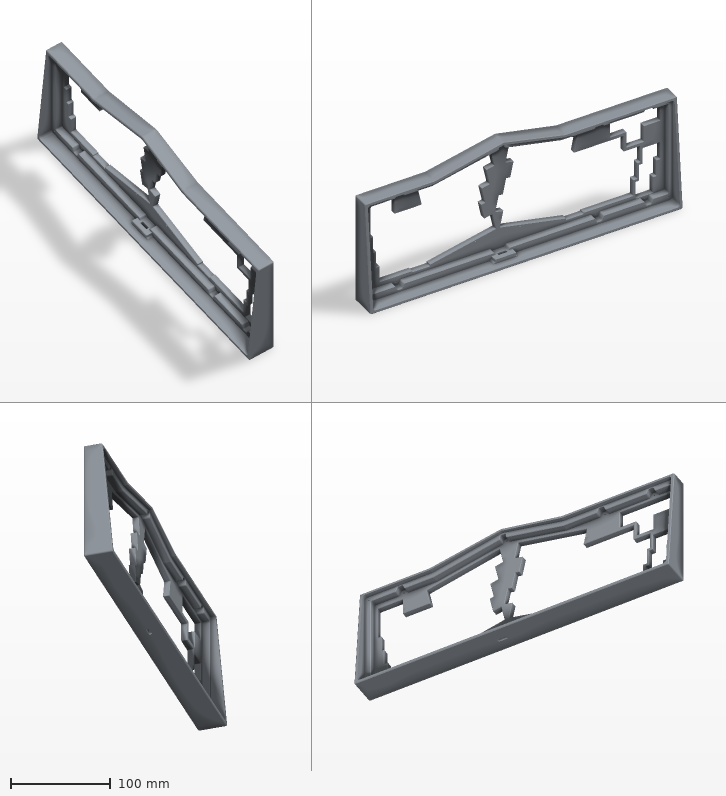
import cadquery as cq
import math


width = 365.0
depth = 30.5
height = 145.5
apex_x = -19.5
wing_angle = 12.0
front_angle = 5.0
left_bend_x = -101.0
right_bend_x = 51.8
wall = 3.3
outer_corner_radius = 1.5
bend_radius = 4.5
rim_chamfer = 0.7
inner_corner_radius = 3.3

plate_depth = 6.5
ledge_depth = 14.5
recess_left_x = -172.5
recess_right_x = 175.0
recess_bottom_z = 11.5
recess_top_margin = 9.5
recess_corner_radius = 2.0

hole_diameter = 1.6
hole_depth = 3.5
notch_xs = (-138.5, 94.5, 152.0)
notch_hole_inset = 2.0
notch_depth = 5.5
notch_base_half = 5.0
notch_tip_half = 2.75
apex_hole_z = 137.5
apex_notch_top_z = 140.5
apex_notch_half = 3.3
corner_hole_x = 174.8
corner_hole_inset = 7.5
plate_hole_spacing = 52.0
plate_hole_z = 26.5

port_floor_z = 8.8
port_base_half = 9.0
port_floor_half = 7.3
port_block_half = 12.5
port_block_depth = 21.5
port_block_flare = 2.2
port_block_chamfer = 0.55
port_slot_width = 10.2
port_slot_height = 3.3
port_slot_depth = 15.0

rows = 5
row_stack = 96.0
key_row = row_stack / rows
key_top_z = 113.0
key_bottom_z = key_top_z - row_stack
left_key_x = -169.3
row_stagger = (4.5, 3.3, 4.5)
tab_left_x = -140.0
inner_key_z = 34.0
left_inner_key_x = -22.0
right_inner_key_x = -16.8
left_row_offsets = (0, -0.5, -0.25, 0.25, 0.75)
right_row_offsets = (0, -0.5, -0.25, 0, -0.5)
wing_top_reach = 3.75
wing_bottom_reach = 4.1
foot_z = 15.7
foot_width = 20.5
right_step_x = 127.7
right_stagger = (3.5, 4.7)
opening_corner_radius = 0.55
opening_chamfer = 0.45

key_opening = 20.0
top_cluster_columns = 3
top_cluster_x = 111.5
top_cluster_z = 118.2
side_cluster_xs = (150.0, 145.5, 141.5)
side_cluster_z = 71.0

wing_slope = math.tan(math.radians(wing_angle))
wing_cos = math.cos(math.radians(wing_angle))
wing_sin = math.sin(math.radians(wing_angle))
front_slope = math.tan(math.radians(front_angle))

apex_z = height + bend_radius * (1 / wing_cos - 1)
depth_at_bottom = depth + rim_chamfer * front_slope


def prism(points, start, end):
    """Solid with an X-Z outline between two depths forward of the back face."""
    return cq.Workplane("XZ", origin=(0, -start, 0)).polyline(points).close().extrude(end - start)


def box(x_min, x_max, z_min, z_max, start, end):
    corners = [(x_min, z_min), (x_max, z_min), (x_max, z_max), (x_min, z_max)]
    return prism(corners, start, end)


def case_outline(left, right, bottom, top_margin):
    """House-shaped outline whose top runs parallel to the outer top of the case."""
    peak_z = apex_z - top_margin / wing_cos
    bend_shift = top_margin * math.tan(math.radians(wing_angle / 2))
    left_bend = left_bend_x + bend_shift
    right_bend = right_bend_x - bend_shift
    left_z = peak_z - (apex_x - left_bend) * wing_slope
    right_z = peak_z - (right_bend - apex_x) * wing_slope
    return [(left, bottom), (right, bottom), (right, right_z), (right_bend, right_z),
            (apex_x, peak_z), (left_bend, left_z), (left, left_z)]


half_width = width / 2
outer_outline = case_outline(-half_width, half_width, 0, 0)
inner_outline = case_outline(-half_width + wall, half_width - wall, wall, wall)
recess_outline = case_outline(recess_left_x, recess_right_x, recess_bottom_z, recess_top_margin)
left_top_z = recess_outline[-1][1]
right_top_z = recess_outline[2][1]


def make_walls():
    """Outer wall all round, its front rim sloping back towards the top."""
    body = prism(outer_outline, 0, depth_at_bottom)
    body = body.edges("|Y").edges("<X or >X").fillet(outer_corner_radius)
    bend_zone = cq.selectors.BoxSelector((left_bend_x - bend_radius, -depth_at_bottom, left_top_z),
                                         (right_bend_x + bend_radius, 0, apex_z + bend_radius))
    body = body.edges("|Y").edges(bend_zone).fillet(bend_radius)
    rim_setback = apex_z * front_slope
    front_wedge = (
        cq.Workplane("YZ")
        .polyline([(-depth_at_bottom, 0), (-depth_at_bottom, apex_z),
                   (rim_setback - depth_at_bottom, apex_z)])
        .close()
        .extrude(half_width, both=True)
    )
    body = body.cut(front_wedge)
    body = body.faces(">Y or <Y").edges().chamfer(rim_chamfer)
    return body.cut(make_inner_slab(0, depth_at_bottom))


def make_inner_slab(start, end):
    """Slab that fills the inside of the walls between two depths."""
    return prism(inner_outline, start, end).edges("|Y").fillet(inner_corner_radius)


def make_pierced_slab(start, end, cutters):
    """Inner slab with openings whose front edges are chamfered."""
    slab = make_inner_slab(start, end)
    for cutter in cutters:
        slab = slab.cut(cutter)
    front_face = slab.faces("<Y").val()
    edges = [edge for wire in front_face.innerWires() for edge in wire.Edges()]
    return slab.newObject(edges).chamfer(opening_chamfer)


def top_edge_z(x):
    """Height of the recess top edge over one of the flat shoulders."""
    return left_top_z if x < apex_x else right_top_z


def notch(x, edge_z, direction):
    """Trapezoid that reaches from the recess edge into the ledge."""
    inside = edge_z - direction * notch_depth / 2
    tip = edge_z + direction * notch_depth
    return prism([(x - notch_base_half, inside), (x - notch_base_half, edge_z), (x - notch_tip_half, tip),
                  (x + notch_tip_half, tip), (x + notch_base_half, edge_z), (x + notch_base_half, inside)],
                 plate_depth, ledge_depth)


def make_recess():
    """Pocket through the ledge down to the plate, with screw notches and the port gap."""
    recess = prism(recess_outline, plate_depth, ledge_depth)
    for x in notch_xs:
        recess = recess.union(notch(x, top_edge_z(x), 1))
        recess = recess.union(notch(x, recess_bottom_z, -1))
    recess = recess.union(box(apex_x - apex_notch_half, apex_x + apex_notch_half,
                              left_top_z, apex_notch_top_z, plate_depth, ledge_depth))
    port_gap = prism([(apex_x - port_base_half, recess_bottom_z), (apex_x - port_floor_half, port_floor_z),
                      (apex_x + port_floor_half, port_floor_z), (apex_x + port_base_half, recess_bottom_z)],
                     plate_depth, ledge_depth)
    return recess.union(port_gap).edges("|Y").fillet(recess_corner_radius)


def make_port_block():
    """Flared block on the bottom wall that also forms the floor of the port gap."""
    foot = port_block_half + port_block_flare
    flare_z = wall + port_block_flare
    block = prism([(apex_x - foot, wall), (apex_x - port_block_half, flare_z),
                   (apex_x - port_block_half, port_floor_z), (apex_x + port_block_half, port_floor_z),
                   (apex_x + port_block_half, flare_z), (apex_x + foot, wall)],
                  plate_depth, port_block_depth)
    return block.faces("<Y").edges("not <Z").chamfer(port_block_chamfer)


def make_port_slot():
    """Cable slot that runs down through the port block and the bottom wall."""
    return box(apex_x - port_slot_width / 2, apex_x + port_slot_width / 2, 0, port_floor_z,
               port_slot_depth - port_slot_height / 2, port_slot_depth + port_slot_height / 2)


def wing_point(corner_x, side, along, up):
    """Point in the tilted key grid of one wing; side is +1 for right and -1 for left.

    The along axis points outwards and downwards, the up axis upwards and outwards.
    """
    x = corner_x + side * (along * wing_cos + up * wing_sin)
    z = inner_key_z - along * wing_sin + up * wing_cos
    return (x, z)


def wing_edge(corner_x, side, offsets):
    """Tilted outline from the outer bottom, up the stepped inner edge, to the outer top tab."""
    points = [wing_point(corner_x, side, wing_bottom_reach * key_row, 0)]
    for row, offset in enumerate(offsets):
        for level in (row, row + 1):
            points.append(wing_point(corner_x, side, side * offset * key_row, level * key_row))
    points.append(wing_point(corner_x, side, wing_top_reach * key_row, rows * key_row))
    tab_x, tab_z = points[-1]
    tab_bottom_z = key_top_z - key_row
    points.append((tab_x - side * (tab_z - tab_bottom_z) * wing_slope, tab_bottom_z))
    return points


def foot_steps(inner_x, side):
    """Shallow step in the lower edge beside the tilted keys, from its outer to its inner end."""
    outer_x = inner_x + side * foot_width
    return [(outer_x, key_bottom_z), (outer_x, foot_z), (inner_x, foot_z)]


def left_opening():
    x = left_key_x
    z = key_top_z - 2 * key_row
    points = [(tab_left_x, key_top_z - key_row), (tab_left_x, key_top_z), (x, key_top_z), (x, z)]
    for step in row_stagger:
        x += step
        points += [(x, z), (x, z - key_row)]
        z -= key_row
    wing = wing_edge(left_inner_key_x, -1, left_row_offsets)
    return points + foot_steps(wing[0][0], -1) + wing


def right_opening():
    x = right_step_x
    z = key_top_z - key_row
    points = [(x, z), (x, z - key_row)]
    x += key_row
    z -= key_row
    points += [(x, z), (x, z - key_row)]
    for step in right_stagger:
        x -= step
        z -= key_row
        points += [(x, z), (x, z - key_row)]
    wing = wing_edge(right_inner_key_x, 1, right_row_offsets)
    return points + foot_steps(wing[0][0], 1) + wing


def key_hole(x, top_z, columns=1):
    right = x + (columns - 1) * key_row + key_opening
    return box(x, right, top_z - key_opening, top_z, 0, plate_depth)


def make_openings():
    """All key openings through the plate."""
    top_cluster = key_hole(top_cluster_x, top_cluster_z, top_cluster_columns)
    top_cluster = top_cluster.union(key_hole(top_cluster_x + key_row, top_cluster_z - key_row))
    side_cluster = key_hole(side_cluster_xs[0], side_cluster_z)
    for row, x in enumerate(side_cluster_xs):
        side_cluster = side_cluster.union(key_hole(x, side_cluster_z - row * key_row))
    openings = [prism(left_opening(), 0, plate_depth), prism(right_opening(), 0, plate_depth),
                top_cluster, side_cluster]
    return [opening.edges("|Y").fillet(opening_corner_radius) for opening in openings]


def make_holes(points, face_depth):
    """Blind screw holes drilled from a face towards the back."""
    return (
        cq.Workplane("XZ", origin=(0, hole_depth - face_depth, 0))
        .pushPoints(points)
        .circle(hole_diameter / 2)
        .extrude(hole_depth)
    )


plate_hole_points = [(apex_x, apex_hole_z)]
for notch_x in notch_xs:
    plate_hole_points.append((notch_x, top_edge_z(notch_x) + notch_hole_inset))
    plate_hole_points.append((notch_x, recess_bottom_z - notch_hole_inset))
for side in (-1, 1):
    plate_hole_points.append((apex_x + side * plate_hole_spacing / 2, plate_hole_z))

ledge_hole_points = []
for side in (-1, 1):
    shoulder_z = outer_outline[-1][1] if side < 0 else outer_outline[2][1]
    for z in (corner_hole_inset, shoulder_z - corner_hole_inset):
        ledge_hole_points.append((side * corner_hole_x, z))

plate = make_pierced_slab(0, plate_depth, make_openings())
ledge = make_pierced_slab(plate_depth, ledge_depth, [make_recess()])
result = make_walls().union(plate).union(ledge).union(make_port_block()).cut(make_port_slot())
result = result.cut(make_holes(plate_hole_points, plate_depth))
result = result.cut(make_holes(ledge_hole_points, ledge_depth))